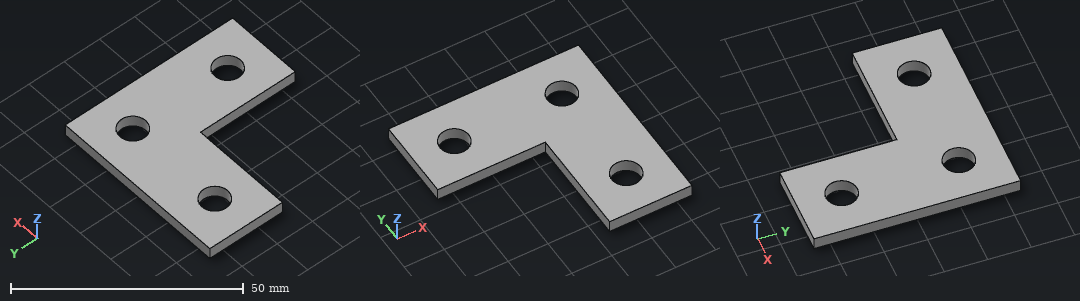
import cadquery as cq

side = 47.6
thickness = 3.2
arm_width = 20.65
hole_diameter = 7.2

near_center = arm_width / 2
far_center = side - arm_width / 2
inner_corner = side - arm_width


def l_plate():
    """L-shaped plate with its outer corner at +X, +Y."""
    outline = [
        (0, inner_corner),
        (inner_corner, inner_corner),
        (inner_corner, 0),
        (side, 0),
        (side, side),
        (0, side),
    ]
    return cq.Workplane("XY").polyline(outline).close().extrude(thickness)


def hole_cutters():
    """Through holes at the outer corner and at the end of each arm."""
    centers = [
        (near_center, far_center),
        (far_center, far_center),
        (far_center, near_center),
    ]
    return cq.Workplane("XY").pushPoints(centers).circle(hole_diameter / 2).extrude(thickness)


result = l_plate().cut(hole_cutters())